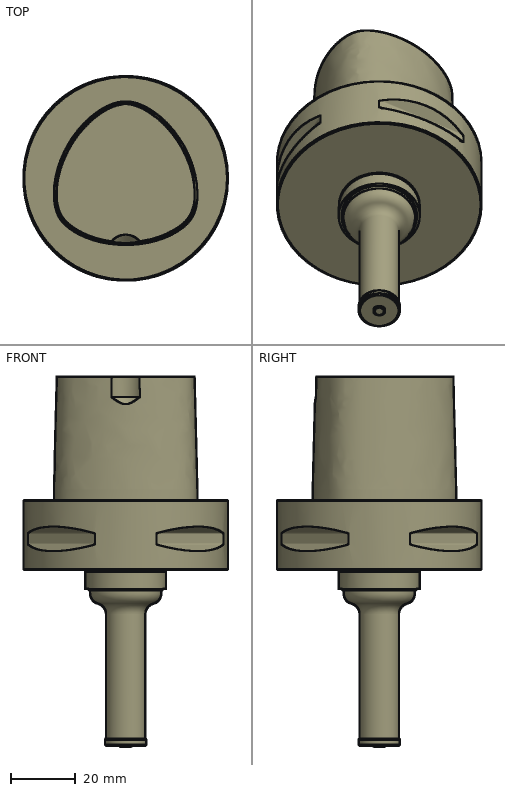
import cadquery as cq
import math


SHANK_HEIGHT = 38.0
SHANK_WIDTH = 44.2
SHANK_LOBE = 1.6
SHANK_STRAIGHT = 3.2
TAPER_RATIO = 1 / 20
PROFILE_POINTS = 48

NOTCH_RADIUS = 5.5
NOTCH_AXIS_Y = -22.8
NOTCH_DEPTH = 6.3
NOTCH_CONE_HEIGHT = 4.8

FLANGE_RADIUS = 63.0 / 2
FLANGE_HEIGHT = 21.5
FLANGE_CHAMFER = 0.3

SLOT_COUNT = 4
SLOT_FIRST_ANGLE = 45
SLOT_FLOOR_DISTANCE = 27.9
SLOT_FLOOR_HEIGHT = 3.4
SLOT_CENTRE_Z = -12.0
SLOT_FLANK_ANGLE = 30
SLOT_CORNER_RADIUS = 0.6

COLLAR_RADIUS = 25.0 / 2
COLLAR_HEIGHT = 5.8
NECK_RADIUS = 12.3
NECK_HEIGHT = 0.6

SEAT_RADIUS = 11.6
SEAT_HEIGHT = 0.6
HEAD_RADIUS = 22.0 / 2
HEAD_HEIGHT = 1.4
SHOULDER_HEIGHT = 6.4
STEM_RADIUS = 12.2 / 2
TIP_RADIUS = 6.4
TIP_HEIGHT = 2.3
TIP_CHAMFER = 0.5
BOSS_RADIUS = 1.8
BOSS_TIP_RADIUS = 2.8 / 2
BOSS_HEIGHT = 0.3
TOTAL_HEIGHT = 114.0

FLANGE_BOTTOM = -FLANGE_HEIGHT
COLLAR_BOTTOM = FLANGE_BOTTOM - COLLAR_HEIGHT
TOOL_BOTTOM = SHANK_HEIGHT - TOTAL_HEIGHT


def shank_profile(width, z):
    """Closed three-lobed curve with one lobe on +Y, as a wire at height z."""
    points = []
    for i in range(PROFILE_POINTS):
        angle = 2 * math.pi * i / PROFILE_POINTS
        lobe_phase = 3 * (angle - math.pi / 2)
        support = width / 2 + SHANK_LOBE * math.cos(lobe_phase)
        slope = -3 * SHANK_LOBE * math.sin(lobe_phase)
        x = support * math.cos(angle) - slope * math.sin(angle)
        y = support * math.sin(angle) + slope * math.cos(angle)
        points.append(cq.Vector(x, y, z))
    return cq.Wire.assembleEdges([cq.Edge.makeSpline(points, periodic=True)])


def make_shank():
    top_width = SHANK_WIDTH - (SHANK_HEIGHT - SHANK_STRAIGHT) * TAPER_RATIO
    base = shank_profile(SHANK_WIDTH, 0)
    taper_start = shank_profile(SHANK_WIDTH, SHANK_STRAIGHT)
    top = shank_profile(top_width, SHANK_HEIGHT)
    straight = cq.Solid.makeLoft([base, taper_start], True)
    taper = cq.Solid.makeLoft([taper_start, top], True)
    return cq.Workplane(obj=straight).union(cq.Workplane(obj=taper))


def make_notch():
    """Drill-shaped cutter with a conical end, open at the top of the shank."""
    cone_base = SHANK_HEIGHT - NOTCH_DEPTH
    return (
        cq.Workplane("XZ")
        .moveTo(0, cone_base - NOTCH_CONE_HEIGHT)
        .lineTo(NOTCH_RADIUS, cone_base)
        .lineTo(NOTCH_RADIUS, SHANK_HEIGHT)
        .lineTo(0, SHANK_HEIGHT)
        .close()
        .revolve(360, (0, 0, 0), (0, 1, 0))
        .translate((0, NOTCH_AXIS_Y, 0))
    )


def make_flange():
    return (
        cq.Workplane("XY", origin=(0, 0, FLANGE_BOTTOM))
        .circle(FLANGE_RADIUS)
        .extrude(FLANGE_HEIGHT)
        .edges("%CIRCLE")
        .chamfer(FLANGE_CHAMFER)
    )


def make_slot(angle):
    """Trapezoidal cutter that leaves a flat floor and two sloping flanks."""
    depth = FLANGE_RADIUS - SLOT_FLOOR_DISTANCE
    floor_half = SLOT_FLOOR_HEIGHT / 2
    mouth_half = floor_half + depth * math.tan(math.radians(SLOT_FLANK_ANGLE))
    return (
        cq.Workplane("XZ")
        .polyline([
            (SLOT_FLOOR_DISTANCE, SLOT_CENTRE_Z - floor_half),
            (FLANGE_RADIUS, SLOT_CENTRE_Z - mouth_half),
            (FLANGE_RADIUS, SLOT_CENTRE_Z + mouth_half),
            (SLOT_FLOOR_DISTANCE, SLOT_CENTRE_Z + floor_half),
        ])
        .close()
        .extrude(FLANGE_RADIUS, both=True)
        .edges("|Y and <X")
        .fillet(SLOT_CORNER_RADIUS)
        .rotate((0, 0, 0), (0, 0, 1), angle)
    )


def make_collar():
    neck = cq.Workplane("XY", origin=(0, 0, FLANGE_BOTTOM)).circle(NECK_RADIUS).extrude(-NECK_HEIGHT)
    ring = (
        cq.Workplane("XY", origin=(0, 0, COLLAR_BOTTOM))
        .circle(COLLAR_RADIUS)
        .extrude(COLLAR_HEIGHT - NECK_HEIGHT)
    )
    return neck.union(ring)


def make_holder():
    holder = make_flange().union(make_shank()).union(make_collar())
    for i in range(SLOT_COUNT):
        holder = holder.cut(make_slot(SLOT_FIRST_ANGLE + i * 360 / SLOT_COUNT))
    return holder.cut(make_notch())


def make_tool():
    """Body of revolution: seat cone, head, S-shaped shoulder, stem, tip ring and end boss."""
    head_bottom = COLLAR_BOTTOM - HEAD_HEIGHT
    stem_top = head_bottom - SHOULDER_HEIGHT
    shoulder_middle = ((HEAD_RADIUS + STEM_RADIUS) / 2, (head_bottom + stem_top) / 2)
    tip_bottom = TOOL_BOTTOM + BOSS_HEIGHT
    tip_top = tip_bottom + TIP_HEIGHT
    return (
        cq.Workplane("XZ")
        .moveTo(0, COLLAR_BOTTOM)
        .lineTo(SEAT_RADIUS, COLLAR_BOTTOM)
        .lineTo(HEAD_RADIUS, COLLAR_BOTTOM - SEAT_HEIGHT)
        .lineTo(HEAD_RADIUS, head_bottom)
        .tangentArcPoint(shoulder_middle, relative=False)
        .tangentArcPoint((STEM_RADIUS, stem_top), relative=False)
        .lineTo(STEM_RADIUS, tip_top)
        .lineTo(TIP_RADIUS - TIP_CHAMFER / 2, tip_top)
        .lineTo(TIP_RADIUS, tip_top - TIP_CHAMFER)
        .lineTo(TIP_RADIUS, tip_bottom + TIP_CHAMFER)
        .lineTo(TIP_RADIUS - TIP_CHAMFER, tip_bottom)
        .lineTo(BOSS_RADIUS, tip_bottom)
        .lineTo(BOSS_TIP_RADIUS, TOOL_BOTTOM)
        .lineTo(0, TOOL_BOTTOM)
        .close()
        .revolve(360, (0, 0, 0), (0, 1, 0))
    )


holder = make_holder()
tool = make_tool()
result = cq.Compound.makeCompound([holder.val(), tool.val()])